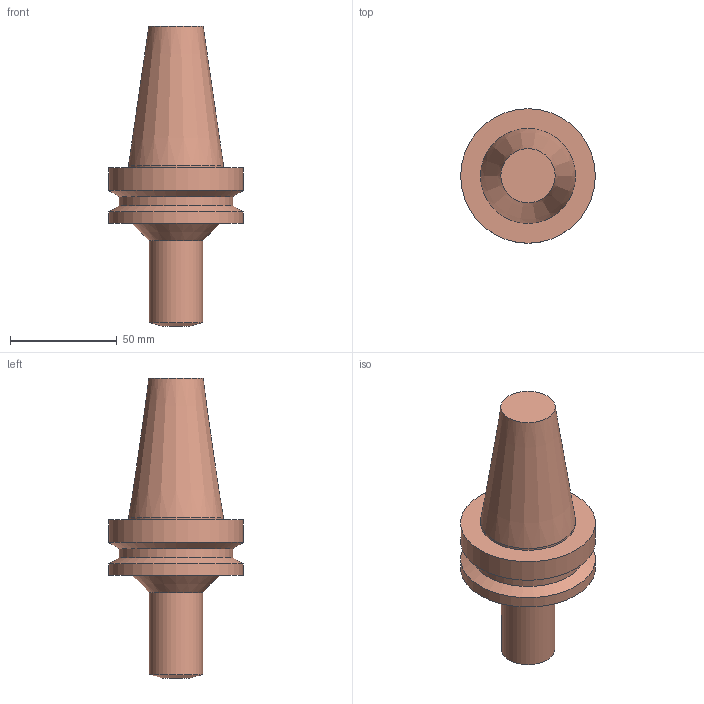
import cadquery as cq
import math


gauge_diameter = 44.45
taper_length = 65.4
taper_ratio = 7 / 24
taper_tip_diameter = gauge_diameter - taper_ratio * taper_length

flange_diameter = 63.0
flange_top = -1.0
flange_bottom = -27.0
groove_diameter = 53.0
groove_center = -16.6
groove_floor_width = 4.3
groove_flank_angle = 30.0
groove_depth = (flange_diameter - groove_diameter) / 2
groove_flank_height = groove_depth * math.tan(math.radians(groove_flank_angle))

collar_diameter = 41.0
pilot_diameter = 25.0
collar_height = (collar_diameter - pilot_diameter) / 2
pilot_bottom = -75.0
pilot_tip_diameter = 13.0
pilot_tip_angle = 15.0
pilot_tip_run = (pilot_diameter - pilot_tip_diameter) / 2
pilot_tip_height = pilot_tip_run * math.tan(math.radians(pilot_tip_angle))


def groove_levels():
    """Heights of the groove corners, from the top rim to the bottom rim."""
    floor_top = groove_center + groove_floor_width / 2
    floor_bottom = groove_center - groove_floor_width / 2
    return (
        floor_top + groove_flank_height,
        floor_top,
        floor_bottom,
        floor_bottom - groove_flank_height,
    )


def half_profile():
    """(diameter, height) corners of the outer contour, from the top down."""
    upper_rim, floor_top, floor_bottom, lower_rim = groove_levels()
    return [
        (0, taper_length),
        (taper_tip_diameter, taper_length),
        (gauge_diameter, 0),
        (gauge_diameter, flange_top),
        (flange_diameter, flange_top),
        (flange_diameter, upper_rim),
        (groove_diameter, floor_top),
        (groove_diameter, floor_bottom),
        (flange_diameter, lower_rim),
        (flange_diameter, flange_bottom),
        (collar_diameter, flange_bottom),
        (pilot_diameter, flange_bottom - collar_height),
        (pilot_diameter, pilot_bottom + pilot_tip_height),
        (pilot_tip_diameter, pilot_bottom),
        (0, pilot_bottom),
    ]


def make_holder():
    """Revolve the contour about the Z axis."""
    corners = [(diameter / 2, height) for diameter, height in half_profile()]
    return cq.Workplane("XZ").polyline(corners).close().revolve(360, (0, 0), (0, 1))


result = make_holder()